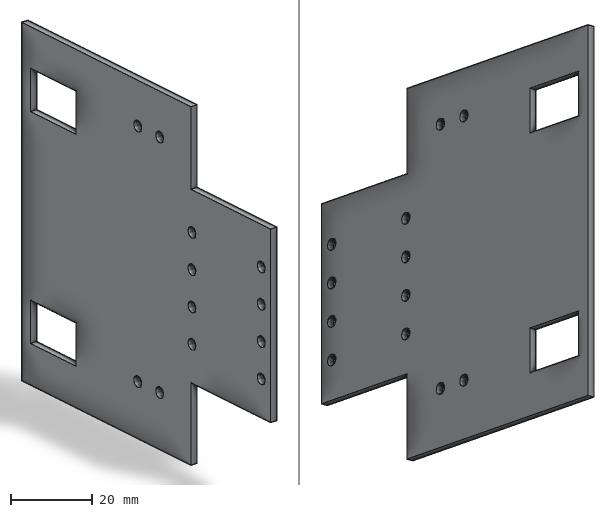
import cadquery as cq

total_length = 98.9
thickness = 2.0
body_length = 67.2
body_height = 96.0
tab_height = 51.8

window_length = 18.0
window_height = 11.6
window_edge_gap = 3.6
window_offset_z = 31.1

hole_diameter = 3.0
body_hole_first_x = 46.1
body_hole_spacing_x = 8.7
body_hole_offset_z = 34.2
body_hole_center_z = 1.5
tab_hole_first_x = 67.6
tab_hole_spacing_x = 27.5
tab_hole_pitch_z = 10.0
tab_hole_rows = 4
tab_hole_center_z = -0.5


def through_cutter(sketch):
    """Extrude a sketch on the XZ plane through the full plate thickness."""
    return sketch.extrude(-thickness)


def make_plate():
    body = cq.Workplane("XZ").rect(body_length, body_height).extrude(-thickness)
    body = body.translate((body_length / 2, 0, 0))
    tab = cq.Workplane("XZ").rect(total_length, tab_height).extrude(-thickness)
    return body.union(tab.translate((total_length / 2, 0, 0)))


def make_windows():
    center_x = window_edge_gap + window_length / 2
    centers = [(center_x, side * window_offset_z) for side in (-1, 1)]
    sketch = cq.Workplane("XZ").pushPoints(centers).rect(window_length, window_height)
    return through_cutter(sketch)


def make_holes():
    centers = []
    for column in range(2):
        body_x = body_hole_first_x + column * body_hole_spacing_x
        for side in (-1, 1):
            centers.append((body_x, body_hole_center_z + side * body_hole_offset_z))
        tab_x = tab_hole_first_x + column * tab_hole_spacing_x
        for row in range(tab_hole_rows):
            row_offset = (row - (tab_hole_rows - 1) / 2) * tab_hole_pitch_z
            centers.append((tab_x, tab_hole_center_z + row_offset))
    sketch = cq.Workplane("XZ").pushPoints(centers).circle(hole_diameter / 2)
    return through_cutter(sketch)


result = make_plate().cut(make_windows()).cut(make_holes())